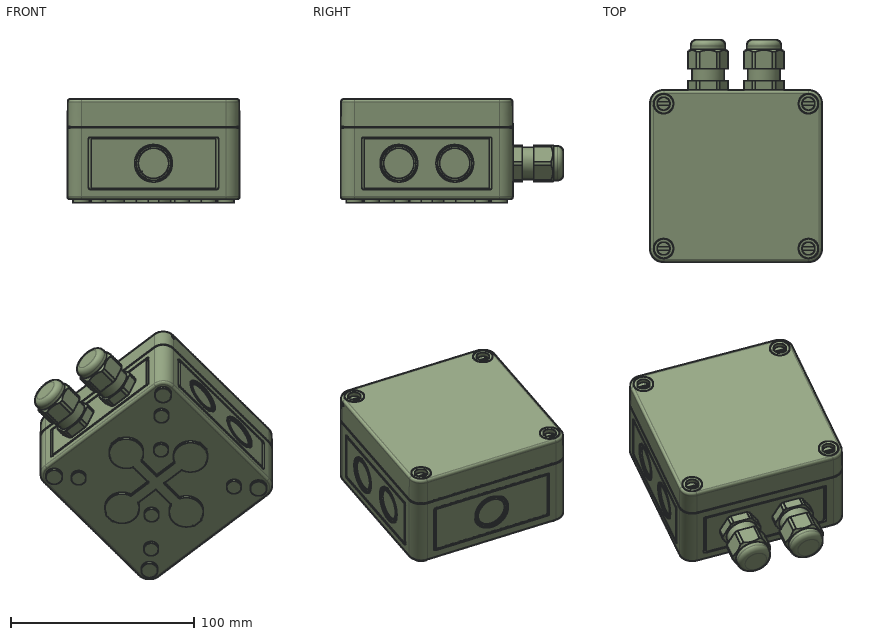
import cadquery as cq
import math

overall_length = 121.5
box_side = 94.0
corner_radius = 7.5
edge_radius = 1.6
total_height = 56.7
foot_height = 2.0
base_top = 41.0
seam_gap = 0.7
seam_inset = 1.6
lid_draft = 0.8
half_side = box_side / 2
lid_bottom = base_top + seam_gap
corner_offset = half_side - corner_radius
corners = [(-1, -1), (-1, 1), (1, -1), (1, 1)]

panel_width = 71.0
panel_height = 28.7
panel_z = 21.6
panel_corner_radius = 1.2
frame_width = 1.5
frame_height = 0.9
frame_depth = 1.7
knockout_pitch = 30.5
knockout_pair = (-knockout_pitch / 2, knockout_pitch / 2)
knockout_outer = 20.5
knockout_ring = 18.7
knockout_center = 16.5
knockout_groove_depth = 1.2
knockout_recess_depth = 1.0

foot_diameter = 9.0
pad_diameter = 8.0
pad_offset = 30.0
inner_pad_x = 15.5
inner_pad_y = 13.9
disc_diameter = 18.7
disc_offset = 24.8
rib_width = 5.8
rib_length = 2 * disc_offset + disc_diameter

screw_diameter = 10.5
screw_clearance = 0.2
screw_hole_diameter = screw_diameter + 2 * screw_clearance
screw_height = 5.5
socket_diameter = 7.0
socket_depth = 2.5
slot_width = 2.0
slot_depth = 1.2
seal_hole_diameter = 2.2
seal_hole_drop = 3.0
screw_places = [(corner_offset * i, corner_offset * j) for i, j in corners]

gland_length = overall_length - box_side
hex_flats = 19.9
hex_corner_diameter = 22.0
flange_length = 5.1
neck_diameter = 17.7
nut_start = 11.4
nut_hex_end = 22.1
collar_diameter = 19.0
dome_radius = 3.3
nut_chamfer = 1.3


def disc(diameter, height, x, y, z):
    """Upright cylinder standing on height z."""
    return cq.Workplane("XY", origin=(x, y, z)).circle(diameter / 2).extrude(height)


def rounded_block(inset, height, z, draft=0.0):
    """Square block with rounded upright edges, set in from the enclosure sides."""
    side = box_side - 2 * inset
    outline = cq.Sketch().rect(side, side).vertices().fillet(corner_radius - inset)
    return cq.Workplane("XY", origin=(0, 0, z)).placeSketch(outline).extrude(height, taper=draft)


def panel_cut(knockout_positions):
    """Material removed from the -Y side for one panel and its knockouts."""
    side_face = cq.Workplane("XZ", origin=(0, -half_side, panel_z))
    frame = side_face.rect(panel_width, panel_height).extrude(-frame_depth)
    frame = frame.edges("|Y").fillet(panel_corner_radius)
    island = side_face.rect(
        panel_width - 2 * frame_width, panel_height - 2 * frame_height
    ).extrude(-frame_depth)
    cut = frame.cut(island)
    for x in knockout_positions:
        place = side_face.center(x, 0)
        groove = place.circle(knockout_outer / 2).circle(knockout_ring / 2).extrude(-knockout_groove_depth)
        recess = place.circle(knockout_center / 2).extrude(-knockout_recess_depth)
        cut = cut.union(groove).union(recess)
    return cut


def underside_pattern():
    """Corner feet, pads, discs and a rib cross standing below the base."""
    spots = [(foot_diameter, corner_offset * i, corner_offset * j) for i, j in corners]
    spots += [(pad_diameter, pad_offset * i, pad_offset * j) for i, j in corners]
    spots += [(pad_diameter, inner_pad_x * i, -inner_pad_y * i) for i in (-1, 1)]
    spots += [(disc_diameter, disc_offset * i, 0) for i in (-1, 1)]
    spots += [(disc_diameter, 0, disc_offset * i) for i in (-1, 1)]
    rib_along_x = cq.Workplane("XY").rect(rib_length, rib_width).extrude(foot_height)
    rib_along_y = cq.Workplane("XY").rect(rib_width, rib_length).extrude(foot_height)
    pattern = rib_along_x.union(rib_along_y)
    for diameter, x, y in spots:
        pattern = pattern.union(disc(diameter, foot_height, x, y, 0))
    return pattern


def make_base():
    base = rounded_block(0, base_top - foot_height, foot_height)
    base = base.faces("<Z").edges().fillet(edge_radius)
    base = base.union(rounded_block(seam_inset, seam_gap, base_top))
    side_knockouts = {0: (0,), 90: knockout_pair, 180: (), 270: knockout_pair}
    for angle, positions in side_knockouts.items():
        base = base.cut(panel_cut(positions).rotate((0, 0, 0), (0, 0, 1), angle))
    return base.union(underside_pattern())


def make_lid():
    lid = rounded_block(0, total_height - lid_bottom, lid_bottom, lid_draft)
    lid = lid.faces(">Z").edges().fillet(edge_radius)
    for x, y in screw_places:
        lid = lid.cut(disc(screw_hole_diameter, screw_height, x, y, total_height - screw_height))
    seal_hole = (
        cq.Workplane("YZ", origin=(-half_side, corner_offset, total_height - seal_hole_drop))
        .circle(seal_hole_diameter / 2)
        .extrude(corner_radius - screw_diameter / 2)
    )
    return lid.cut(seal_hole)


def make_screw(x, y):
    """Screw head with a round socket and a driver slot across the socket floor."""
    screw = disc(screw_diameter, screw_height, x, y, total_height - screw_height)
    socket = disc(socket_diameter, socket_depth, x, y, total_height - socket_depth)
    slot = disc(socket_diameter, slot_depth, x, y, total_height - socket_depth - slot_depth)
    slot = slot.intersect(
        cq.Workplane("XY", origin=(x, y, 0)).rect(socket_diameter, slot_width).extrude(total_height)
    )
    return screw.cut(socket).cut(slot)


def hex_prism(start, end):
    """Hexagon with turned corners along the gland axis, flats facing up and down."""
    corner_to_corner = hex_flats / math.cos(math.pi / 6)
    plane = cq.Workplane("XZ").workplane(offset=-start)
    hexagon = plane.polygon(6, corner_to_corner).extrude(start - end)
    return hexagon.intersect(plane.circle(hex_corner_diameter / 2).extrude(start - end))


def make_gland(x):
    """Cable gland along +Y: hexagon flange, neck and domed cap nut."""
    collar = collar_diameter / 2
    corner = hex_corner_diameter / 2
    envelope = (
        cq.Workplane("XY")
        .lineTo(corner, 0)
        .lineTo(corner, nut_hex_end - nut_chamfer)
        .lineTo(collar, nut_hex_end)
        .lineTo(collar, gland_length)
        .lineTo(0, gland_length)
        .close()
        .revolve(360, (0, 0, 0), (0, 1, 0))
    )
    nut = hex_prism(nut_start, nut_hex_end).intersect(envelope)
    cap = cq.Workplane("XZ").workplane(offset=-nut_start).circle(collar).extrude(nut_start - gland_length)
    cap = cap.faces(">Y").edges().fillet(dome_radius)
    neck = cq.Workplane("XZ").circle(neck_diameter / 2).extrude(-nut_start)
    gland = hex_prism(0, flange_length).union(neck).union(cap).union(nut)
    return gland.translate((x, half_side, panel_z))


base = make_base()
lid = make_lid()
screws = [make_screw(x, y).val() for x, y in screw_places]
glands = [make_gland(x).val() for x in knockout_pair]

result = cq.Compound.makeCompound([base.val(), lid.val(), *screws, *glands])